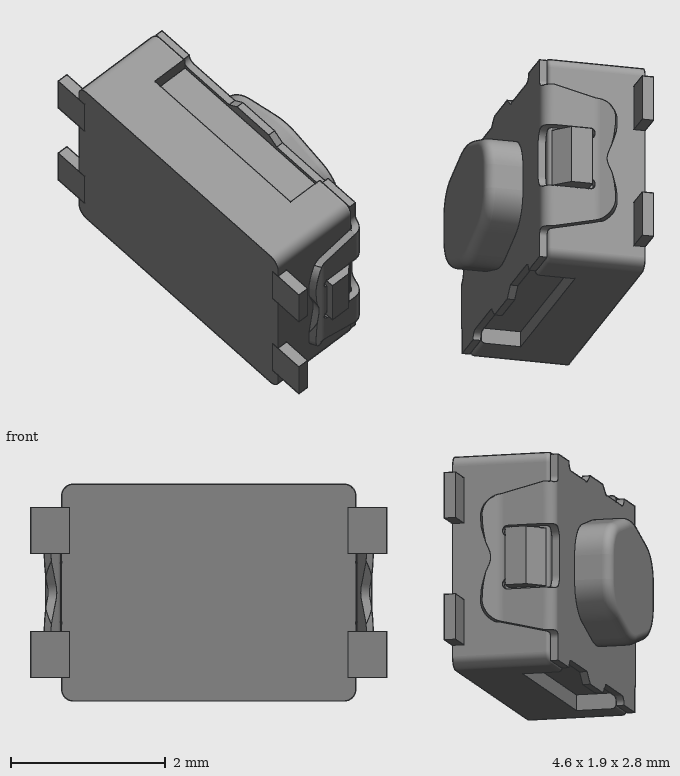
import cadquery as cq
import math

base_length = 3.8
base_width = 2.8
base_height = 1.3
base_corner_radius = 0.15
base_edge_radius = 0.05
half_length = base_length / 2
half_width = base_width / 2

notch_length = 2.595
notch_height = 0.53
notch_depth = 0.205

latch_width = 0.76
latch_bottom = 0.765
latch_reach = 0.205
latch_ramp_top = base_height - base_edge_radius

overall_length = 4.6
terminal_length = 0.5
terminal_width = 0.6
terminal_thickness = 0.15
terminal_offset = 0.8
terminal_center_x = (overall_length - terminal_length) / 2

sheet = 0.1
cover_top = base_height + sheet
cover_half_length = 1.85
cover_half_width = 1.355
cover_inset = 0.11
lower_bump_rise = 0.028
inset_length = 2.65
inset_corner_radius = 0.1
bump_base_x = 0.455
bump_top_x = 0.305

flap_outer_x = 2.015
flap_inner_x = flap_outer_x - sheet
fold_inner_radius = base_edge_radius
fold_outer_radius = fold_inner_radius + sheet
fold_x = flap_outer_x - fold_outer_radius
fold_y = cover_top - fold_outer_radius
flap_root_half_width = 0.975
flap_tip_half_width = 0.83
flap_root_relief = 0.09
flare_angle = 27.0
flare_y = 0.72
flare_outer_radius = 0.18
flare_inner_radius = flare_outer_radius + sheet
tip_length = 0.202
lobe_peak_z = 0.58
lobe_corner_bulge = (0.75, 0.125)
lobe_inner_bulge = (0.405, 0.195)
lobe_inner_end = (0.185, 0.15)
valley_y = 0.545
valley_half_width = 0.09
valley_slope = 21.0

window_half_width = 0.42
window_start_x = 1.785
window_bottom = 0.755
window_corner_radius = 0.185
relief_radius = 0.07
relief_z = window_half_width - relief_radius
relief_rise = 0.02
relief_y = window_bottom + relief_rise

button_half_length = 1.06
button_side_half_width = 0.535
button_ridge_half_width = 0.855
button_corner_radius = 0.5
button_ridge_radius = 0.765
button_edge_radius = 0.125
overall_height = 1.9


def plan(y):
    """Workplane in X and Z at height y; a negative extrusion goes up in Y."""
    return cq.Workplane("XZ", origin=(0, y, 0))


def block(x_range, y_range, z_range):
    """Box between two limits along each axis."""
    sizes = [high - low for low, high in (x_range, y_range, z_range)]
    corner = (x_range[0], y_range[0], z_range[0])
    return cq.Workplane("XY").box(*sizes, centered=False).translate(corner)


def with_mirror(shape, plane):
    """The shape joined with its mirror image."""
    return shape.union(shape.mirror(plane))


def make_terminal(x, z):
    return plan(0).center(x, z).rect(terminal_length, terminal_width).extrude(-terminal_thickness)


def make_latch():
    outer_x = half_length + latch_reach
    outline = [
        (half_length - latch_reach, latch_bottom),
        (outer_x, latch_bottom),
        (outer_x, latch_ramp_top - latch_reach),
        (half_length, latch_ramp_top),
        (half_length - latch_reach, latch_ramp_top),
    ]
    return cq.Workplane("XY").polyline(outline).close().extrude(latch_width / 2, both=True)


def make_base(terminals):
    base = plan(0).rect(base_length, base_width).extrude(-base_height)
    base = base.edges("|Y").fillet(base_corner_radius)
    base = base.faces(">Y").edges().fillet(base_edge_radius)
    notch = block(
        (-notch_length / 2, notch_length / 2),
        (base_height - notch_height, base_height),
        (half_width - notch_depth, half_width),
    )
    base = base.cut(with_mirror(notch, "XY"))
    base = base.union(with_mirror(make_latch(), "YZ"))
    for terminal in terminals:
        base = base.cut(terminal)
    return base


def button_blank(bottom, top):
    """Button outline extruded between two heights."""
    corners = [
        (button_half_length, button_side_half_width),
        (0, button_ridge_half_width),
        (-button_half_length, button_side_half_width),
        (-button_half_length, -button_side_half_width),
        (0, -button_ridge_half_width),
        (button_half_length, -button_side_half_width),
    ]
    blank = plan(bottom).polyline(corners).close().extrude(bottom - top)
    blank = blank.edges("|Y and (<Z or >Z)").fillet(button_ridge_radius)
    for end in ("<X", ">X"):
        blank = blank.faces(end).edges("|Y").fillet(button_corner_radius)
    return blank


def make_button():
    button = button_blank(base_height, overall_height)
    return button.faces(">Y").edges().fillet(button_edge_radius)


def make_bump(reach):
    """Tapered tab on the +Z edge of the cover plate, ending at the given Z."""
    inset_z = cover_half_width - cover_inset
    outline = [
        (-bump_base_x, 0),
        (-bump_base_x, inset_z),
        (-bump_top_x, reach),
        (bump_top_x, reach),
        (bump_base_x, inset_z),
        (bump_base_x, 0),
    ]
    return plan(base_height).polyline(outline).close().extrude(-sheet)


def make_cover_plate():
    plate = plan(base_height).rect(2 * fold_x, 2 * cover_half_width).extrude(-sheet)
    inset = block(
        (-inset_length / 2, inset_length / 2),
        (base_height, cover_top),
        (cover_half_width - cover_inset, half_width),
    )
    inset = inset.edges("|Y and <Z").fillet(inset_corner_radius)
    plate = plate.cut(with_mirror(inset, "XY"))
    plate = plate.union(make_bump(cover_half_width))
    lower_bump = make_bump(cover_half_width + lower_bump_rise).mirror("XY")
    return plate.union(lower_bump)


def make_flap_strip():
    """Fold, tapered wall and start of the flare, with the point where its outer face ends."""
    turn = math.radians(flare_angle)
    flare_center = flap_outer_x + flare_outer_radius

    def fold_point(radius):
        return (fold_x + radius * math.sqrt(0.5), fold_y + radius * math.sqrt(0.5))

    def flare_point(radius, angle):
        return (flare_center - radius * math.cos(angle), flare_y - radius * math.sin(angle))

    strip = (
        cq.Workplane("XY")
        .moveTo(fold_x, cover_top)
        .threePointArc(fold_point(fold_outer_radius), (flap_outer_x, fold_y))
        .lineTo(flap_outer_x, flare_y)
        .threePointArc(flare_point(flare_outer_radius, turn / 2), flare_point(flare_outer_radius, turn))
        .lineTo(*flare_point(flare_inner_radius, turn))
        .threePointArc(flare_point(flare_inner_radius, turn / 2), (flap_inner_x, flare_y))
        .lineTo(flap_inner_x, fold_y)
        .threePointArc(fold_point(fold_inner_radius), (fold_x, base_height))
        .close()
        .extrude(cover_half_width, both=True)
    )
    taper_end = flare_point(flare_outer_radius, turn)
    taper_half = [
        (cover_half_width, cover_top),
        (cover_half_width, fold_y),
        (flap_root_half_width, fold_y),
        (flap_tip_half_width, taper_end[1]),
        (flap_tip_half_width, 0),
    ]
    taper = [(y, z) for z, y in taper_half] + [(y, -z) for z, y in reversed(taper_half)]
    taper_tool = cq.Workplane("YZ").polyline(taper).close().extrude(overall_length)
    return strip.intersect(taper_tool), taper_end


def make_flap_tip(start):
    """Flared end of the flap: a tilted plate with two rounded lobes."""
    turn = math.radians(flare_angle)
    outward = (math.cos(turn), math.sin(turn), 0)
    plane = cq.Plane(origin=(*start, 0), xDir=(0, 0, 1), normal=outward)
    half = [
        (flap_tip_half_width, 0),
        lobe_corner_bulge,
        (lobe_peak_z, tip_length),
        lobe_inner_bulge,
        lobe_inner_end,
    ]
    other = [(-z, down) for z, down in reversed(half)]
    return (
        cq.Workplane(plane)
        .moveTo(*half[0])
        .threePointArc(half[1], half[2])
        .threePointArc(half[3], half[4])
        .lineTo(*other[0])
        .threePointArc(other[1], other[2])
        .threePointArc(other[3], other[4])
        .close()
        .extrude(-sheet)
    )


def flap_valley():
    """Shallow V with a rounded bottom that splits the flap tip into two lobes."""
    slope = math.radians(valley_slope)
    end_y = valley_y - (lobe_peak_z - valley_half_width) * math.tan(slope)
    crown_y = valley_y + valley_half_width * math.tan(slope / 2)
    return (
        cq.Workplane("YZ")
        .moveTo(end_y, -lobe_peak_z)
        .lineTo(valley_y, -valley_half_width)
        .threePointArc((crown_y, 0), (valley_y, valley_half_width))
        .lineTo(end_y, lobe_peak_z)
        .close()
        .extrude(overall_length)
    )


def flap_openings():
    """Latch window and the reliefs beside the flap root."""
    window = block(
        (window_start_x, overall_length / 2),
        (window_bottom, cover_top),
        (-window_half_width, window_half_width),
    )
    window = window.edges("|Y and <X").fillet(window_corner_radius)
    reliefs = (
        cq.Workplane("YZ")
        .pushPoints([(relief_y, -relief_z), (relief_y, relief_z)])
        .circle(relief_radius)
        .extrude(overall_length)
    )
    corner = block(
        (cover_half_length, overall_length / 2),
        (0, cover_top),
        (flap_root_half_width, half_width),
    )
    corner = corner.edges("|Y and <X and <Z").fillet(flap_root_relief)
    return window.union(reliefs).union(with_mirror(corner, "XY"))


def make_cover():
    strip, flare_end = make_flap_strip()
    flap = strip.union(make_flap_tip(flare_end)).cut(flap_valley())
    cover = make_cover_plate().union(with_mirror(flap, "YZ"))
    cover = cover.cut(with_mirror(flap_openings(), "YZ"))
    return cover.cut(button_blank(base_height, cover_top))


terminals = [
    make_terminal(side * terminal_center_x, end * terminal_offset)
    for side in (-1, 1)
    for end in (-1, 1)
]
base = make_base(terminals)
cover = make_cover()
button = make_button()

result = cq.Compound.makeCompound(
    [base.val(), cover.val(), button.val(), *[terminal.val() for terminal in terminals]]
)